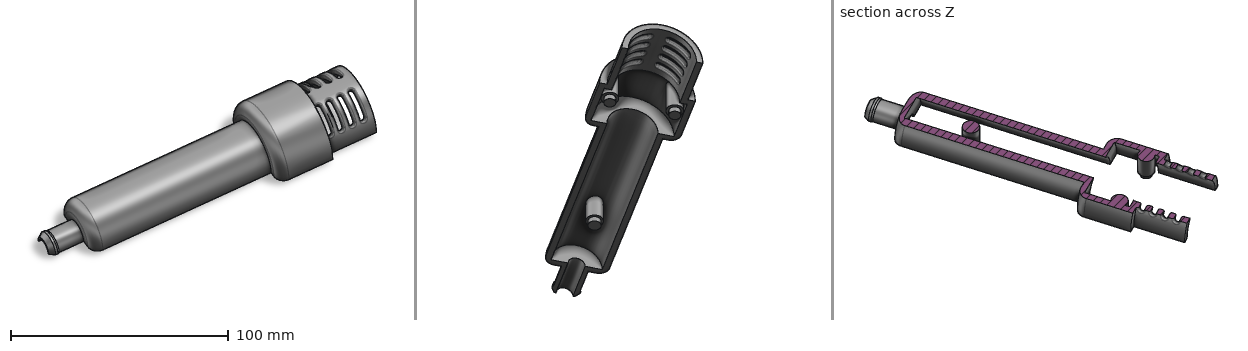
import cadquery as cq
import math

total_length = 166.24
grille_length = 25.4
collar_length = 28.45
nozzle_length = 17.7
collar_front = total_length - grille_length - collar_length
collar_back = total_length - grille_length

collar_radius = 22.86
grille_radius = 19.3
tube_radius = 15.24
shoulder_fillet = 5.08
wall = 3.05

nozzle_radius = 6.35
nozzle_bore_radius = 4.06
tip_radius = 4.95
bead_radius = 6.73
bead_start = 2.6
bead_flat = 1.2
bead_ramp = 0.9

slot_count = 4
slot_pitch = 5.84
slot_width = 2.8
slot_rim_fillet = 0.76
first_slot_from_end = 5.33
slot_low_angle = 32.0
slot_high_angle = 73.0
rim_tolerance = 0.01

pin_length = 2.79
side_pin_diameter = 5.59
boss_diameter = 8.13
side_pin_x = 15.5
side_pin_y = total_length - 34.2
tube_pin_y = total_length - 115.2
tube_pin_diameter = 6.1


def half_turn(profile):
    """Revolve a (radius, Y) profile over the upper half of the Y axis."""
    turned = profile.close().revolve(360, (0, 0), (0, 1))
    size = 4 * total_length
    upper_half = cq.Workplane("XY").box(size, size, size, centered=(True, True, False))
    return turned.intersect(upper_half)


def rounded_shoulder(profile, radius, start_y):
    """Add an end face at start_y and a quarter round up to the given radius."""
    middle = shoulder_fillet * (1 - math.sqrt(0.5))
    return (
        profile.lineTo(radius - shoulder_fillet, start_y)
        .threePointArc((radius - middle, start_y + middle), (radius, start_y + shoulder_fillet))
    )


def outer_body():
    bead_end = bead_start + bead_flat
    profile = (
        cq.Workplane("XY")
        .lineTo(tip_radius, 0)
        .lineTo(bead_radius, bead_start)
        .lineTo(bead_radius, bead_end)
        .lineTo(nozzle_radius, bead_end + bead_ramp)
        .lineTo(nozzle_radius, nozzle_length)
    )
    profile = rounded_shoulder(profile, tube_radius, nozzle_length)
    profile = profile.lineTo(tube_radius, collar_front)
    profile = rounded_shoulder(profile, collar_radius, collar_front)
    profile = (
        profile.lineTo(collar_radius, collar_back)
        .lineTo(grille_radius, collar_back)
        .lineTo(grille_radius, total_length)
        .lineTo(0, total_length)
    )
    return half_turn(profile)


def cavity():
    """Stepped bore that leaves an even wall in the tube, the collar and the grille."""
    profile = (
        cq.Workplane("XY")
        .lineTo(nozzle_bore_radius, 0)
        .lineTo(nozzle_bore_radius, nozzle_length + wall)
        .lineTo(tube_radius - wall, nozzle_length + wall)
        .lineTo(tube_radius - wall, collar_front + wall)
        .lineTo(collar_radius - wall, collar_front + wall)
        .lineTo(collar_radius - wall, collar_back - wall)
        .lineTo(grille_radius - wall, collar_back - wall)
        .lineTo(grille_radius - wall, total_length)
        .lineTo(0, total_length)
    )
    return half_turn(profile)


def slot_cutter(center_y):
    """Slot along an arc about the Y axis, with round ends, through the wall on the +X side."""
    reach = collar_radius
    slot = (
        cq.Workplane("XY")
        .center(reach / 2, center_y)
        .rect(reach, slot_width)
        .revolve(slot_high_angle - slot_low_angle, (-reach / 2, 0), (-reach / 2, -1))
        .rotate((0, 0, 0), (0, 1, 0), -slot_low_angle)
    )
    for angle in (slot_low_angle, slot_high_angle):
        end = cq.Workplane("YZ", origin=(0, center_y, 0)).circle(slot_width / 2).extrude(reach)
        slot = slot.union(end.rotate((0, 0, 0), (0, 1, 0), -angle))
    return slot


def is_slot_rim(edge):
    """True for a slot edge that lies on the outer or inner surface of the grille."""
    middle = edge.positionAt(0.5)
    radius = math.hypot(middle.x, middle.z)
    on_surface = min(abs(radius - grille_radius), abs(radius - grille_radius + wall)) < rim_tolerance
    inside_grille = collar_back + rim_tolerance < middle.y < total_length - rim_tolerance
    return on_surface and inside_grille and middle.z > rim_tolerance


def cut_slots(body):
    for index in range(slot_count):
        slot = slot_cutter(total_length - first_slot_from_end - index * slot_pitch)
        body = body.cut(slot).cut(slot.mirror("YZ"))
    rims = [edge for edge in body.edges().vals() if is_slot_rim(edge)]
    return body.newObject(rims).fillet(slot_rim_fillet)


def locating_pin(x, y, diameter, shell_radius):
    """Pin below the split plane on a wider boss that ends inside the wall of the shell."""
    pin = cq.Workplane("XY").center(x, y).circle(diameter / 2).extrude(-pin_length)
    boss = cq.Workplane("XY").center(x, y).circle(boss_diameter / 2).extrude(shell_radius)
    inside = cq.Workplane("XZ").circle(shell_radius - wall / 2).extrude(-total_length)
    return pin.union(boss.intersect(inside))


result = cut_slots(outer_body().cut(cavity()))
for x in (-side_pin_x, side_pin_x):
    result = result.union(locating_pin(x, side_pin_y, side_pin_diameter, collar_radius))
result = result.union(locating_pin(0, tube_pin_y, tube_pin_diameter, tube_radius))